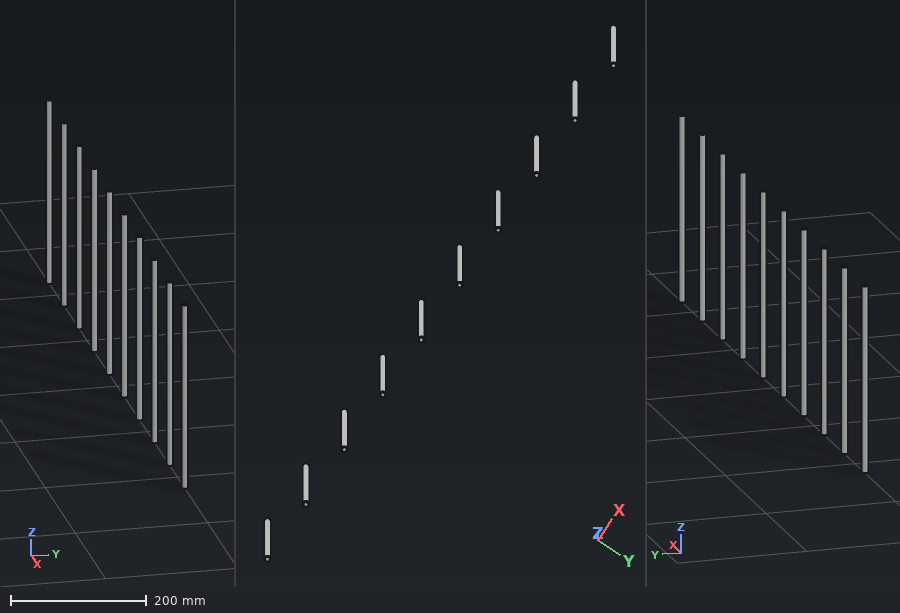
import cadquery as cq

ROW_LENGTH = 910.0
ROD_DIAMETER = 10.0
ROD_LENGTH = 290.0
END_CHAMFER = 1.55
ROD_COUNT = 10

ROD_PITCH = (ROW_LENGTH - ROD_DIAMETER) / (ROD_COUNT - 1)
FIRST_ROD_X = (ROD_DIAMETER - ROW_LENGTH) / 2


def make_rod(center_x):
    """Round upright rod with chamfered ends, centred at mid-height on the XY plane."""
    return (
        cq.Workplane("XY", origin=(center_x, 0, -ROD_LENGTH / 2))
        .circle(ROD_DIAMETER / 2)
        .extrude(ROD_LENGTH)
        .faces("|Z")
        .edges()
        .chamfer(END_CHAMFER)
    )


rods = [make_rod(FIRST_ROD_X + i * ROD_PITCH) for i in range(ROD_COUNT)]

result = cq.Compound.makeCompound([rod.val() for rod in rods])